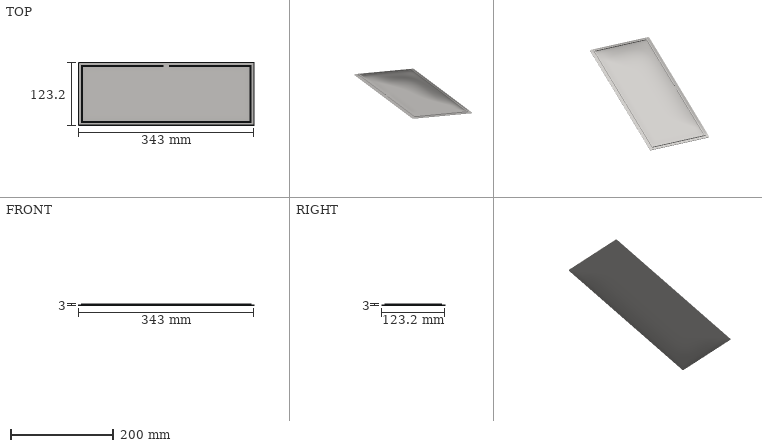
import cadquery as cq

plate_length = 343.0
plate_width = 123.2
plate_thickness = 1.0
corner_radius = 2.0

total_height = 3.0
rim_margin = 6.2
rim_thickness = 2.0
rim_gap = 13.0

rim_length = plate_length - 2 * rim_margin
rim_width = plate_width - 2 * rim_margin


def make_plate():
    """Flat plate with its underside at Z = 0 and rounded corners."""
    plate = cq.Workplane("XY").box(
        plate_length, plate_width, plate_thickness, centered=(True, True, False)
    )
    return plate.edges("|Z").fillet(corner_radius)


def make_rim():
    """Thin rectangular rim, interrupted in the middle of its +Y side."""
    rim = (
        cq.Workplane("XY")
        .rect(rim_length, rim_width)
        .rect(rim_length - 2 * rim_thickness, rim_width - 2 * rim_thickness)
        .extrude(total_height)
    )
    gap_center_y = (rim_width - rim_thickness) / 2
    gap = (
        cq.Workplane("XY")
        .center(0, gap_center_y)
        .rect(rim_gap, 2 * rim_thickness)
        .extrude(total_height)
    )
    return rim.cut(gap)


result = make_plate().union(make_rim())